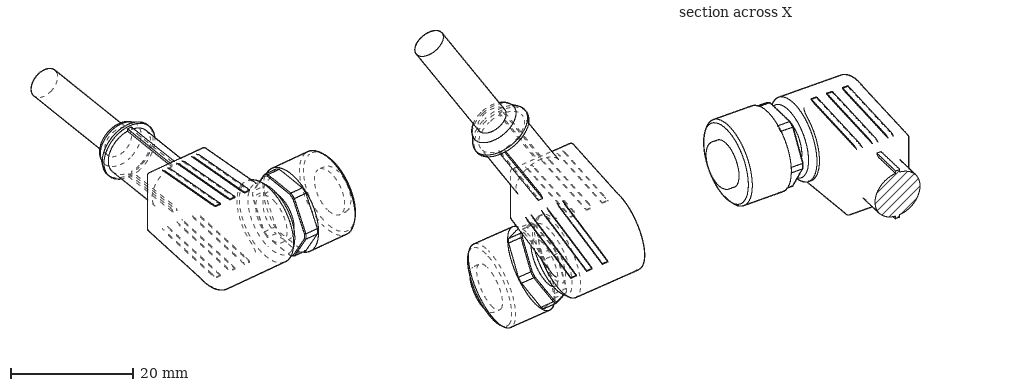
import cadquery as cq
import math


cable_end_x = -51.5
cable_diameter = 5.5
sleeve_diameter = 8.75
flange_face_x = -31.55
flange_back_x = -28.5
flange_rim_width = 0.5
flange_diameter = 10.5
flange_nose_diameter = 8.4
flange_nose_radius = 0.7
sleeve_root_fillet = 0.8
sleeve_rib_width = 0.8
sleeve_rib_top = 4.85

housing_end_x = -16.1
housing_half_width = 6.0
housing_diameter = 14.7
housing_end_z = 5.95
taper_end_x = -1.7
housing_fillet = 0.55
shoulder_top = 7.5
shoulder_chamfer = 1.0

grip_rib_width = 1.05
grip_rib_pitch = 3.0
grip_rib_height = 0.25
grip_rib_start_x = -15.0
grip_rib_end_x = -0.65
grip_rib_ramp = 0.7

neck_diameter = 8.5
hex_bottom = 8.95
hex_across_flats = 13.0
hex_corner_diameter = 14.4
hex_chamfer = 0.2
collar_bottom = 11.5
collar_top = 19.45
collar_diameter = 15.0
collar_chamfer = 0.5
tip_top = 21.0
tip_diameter = 8.2
tip_fillet = 0.55

housing_radius = housing_diameter / 2

arc_midpoint_inset = 1 - math.sqrt(0.5)

taper_end_z = math.sqrt(housing_radius**2 - taper_end_x**2)
taper_slope = (taper_end_z - housing_end_z) / (taper_end_x - housing_end_x)


def tapered_face_z(x):
    return housing_end_z + (x - housing_end_x) * taper_slope


def cylinder_along_y(diameter, y_start, y_end):
    plane = cq.Workplane("XZ", origin=(0, y_start, 0))
    return plane.circle(diameter / 2).extrude(y_start - y_end)


def make_housing():
    """Rounded wedge that narrows toward the cable, with a round shoulder under the socket."""
    wedge = (
        cq.Workplane("XZ", origin=(0, housing_half_width, 0))
        .moveTo(housing_end_x, housing_end_z)
        .lineTo(taper_end_x, taper_end_z)
        .threePointArc((housing_radius, 0), (taper_end_x, -taper_end_z))
        .lineTo(housing_end_x, -housing_end_z)
        .close()
        .extrude(2 * housing_half_width)
        .edges("<Y or <X or >Y")
        .fillet(housing_fillet)
    )
    shoulder = cylinder_along_y(housing_diameter, 0, shoulder_top)
    return wedge.union(shoulder.faces(">Y").chamfer(shoulder_chamfer))


def make_grip_rib(y_center):
    """Low bar along the upper tapered face, with a ramp at its cable end."""
    ramp_end_x = grip_rib_start_x + grip_rib_ramp
    return (
        cq.Workplane("XZ", origin=(0, y_center + grip_rib_width / 2, 0))
        .moveTo(grip_rib_start_x, 0)
        .lineTo(grip_rib_start_x, tapered_face_z(grip_rib_start_x))
        .lineTo(ramp_end_x, tapered_face_z(ramp_end_x) + grip_rib_height)
        .lineTo(grip_rib_end_x, tapered_face_z(grip_rib_end_x) + grip_rib_height)
        .lineTo(grip_rib_end_x, 0)
        .close()
        .extrude(grip_rib_width)
    )


def make_sleeve():
    """Cable, flared flange and sleeve, turned about the X axis, plus the two sleeve ribs."""
    sleeve_r = sleeve_diameter / 2
    nose_r = flange_nose_diameter / 2
    rim_r = flange_diameter / 2
    arc_offset = flange_nose_radius * arc_midpoint_inset
    root_offset = sleeve_root_fillet * arc_midpoint_inset
    turned = (
        cq.Workplane("XY")
        .moveTo(cable_end_x, 0)
        .lineTo(cable_end_x, cable_diameter / 2)
        .lineTo(flange_face_x, cable_diameter / 2)
        .lineTo(flange_face_x, nose_r - flange_nose_radius)
        .threePointArc(
            (flange_face_x + arc_offset, nose_r - arc_offset),
            (flange_face_x + flange_nose_radius, nose_r),
        )
        .lineTo(flange_back_x - flange_rim_width, rim_r)
        .lineTo(flange_back_x, rim_r)
        .lineTo(flange_back_x, sleeve_r)
        .lineTo(housing_end_x - sleeve_root_fillet, sleeve_r)
        .threePointArc(
            (housing_end_x - root_offset, sleeve_r + root_offset),
            (housing_end_x, sleeve_r + sleeve_root_fillet),
        )
        .lineTo(0, 0)
        .close()
        .revolve(360, (0, 0, 0), (1, 0, 0))
    )
    ribs = cq.Workplane("XY").box(
        housing_end_x - flange_back_x, sleeve_rib_width, 2 * sleeve_rib_top
    )
    return turned.union(ribs.translate(((housing_end_x + flange_back_x) / 2, 0, 0)))


def make_socket():
    """Neck, hexagon, round collar and tip stacked along Y."""
    neck = cylinder_along_y(neck_diameter, 0, collar_bottom)
    hexagon = (
        cq.Workplane("XZ", origin=(0, hex_bottom, 0))
        .polygon(6, hex_across_flats / math.cos(math.pi / 6))
        .extrude(hex_bottom - collar_bottom)
    )
    rounding = cylinder_along_y(hex_corner_diameter, hex_bottom, collar_bottom)
    hexagon = hexagon.intersect(rounding).faces("<Y").chamfer(hex_chamfer)
    collar = cylinder_along_y(collar_diameter, collar_bottom, collar_top)
    collar = collar.faces(">Y").chamfer(collar_chamfer)
    tip = cylinder_along_y(tip_diameter, collar_bottom, tip_top)
    tip = tip.faces(">Y").edges().fillet(tip_fillet)
    return neck.union(hexagon).union(collar).union(tip)


result = make_housing().union(make_sleeve()).union(make_socket())
for row in (-1, 0, 1):
    rib = make_grip_rib(row * grip_rib_pitch)
    result = result.union(rib).union(rib.mirror("XY"))